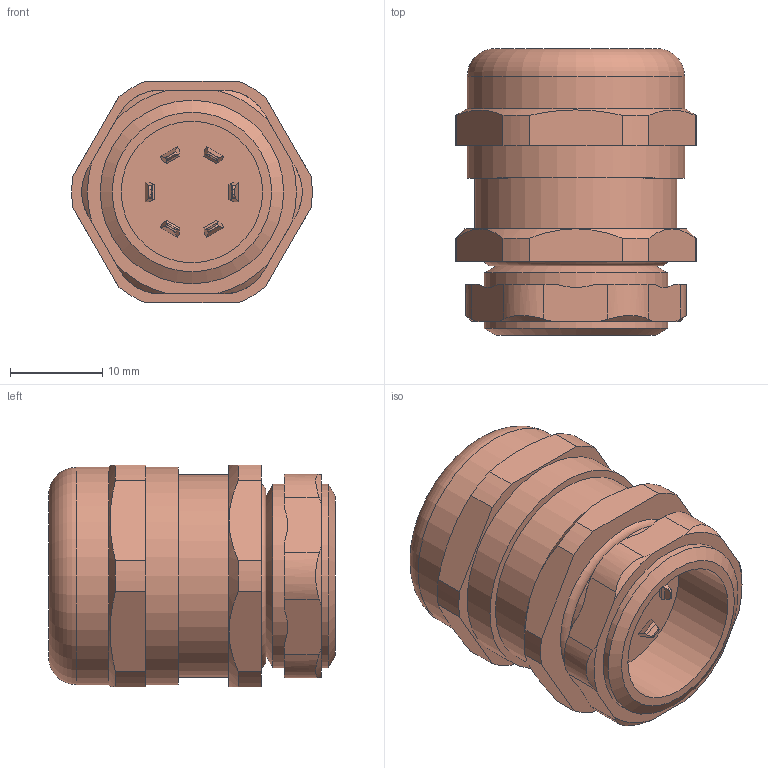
import cadquery as cq
import math

NUT_FRONT = 1.5
NUT_BACK = 5.5
SEAL_FRONT = 7.5
FLANGE_FRONT = 8.0
FLANGE_BACK = 11.5
CAP_FRONT = 17.0
CAP_HEX_FRONT = 20.5
CAP_HEX_BACK = 24.5
TOTAL_LENGTH = 31.0

THREAD_DIA = 19.85
SEAL_RING_DIA = 18.2
SEAL_SECTION_DIA = 2.0
THREAD_END_DIA = 17.25
BODY_DIA = 21.85
CAP_DIA = 23.5
BORE_DIA = 15.3
BORE_DEPTH = SEAL_FRONT
CAP_ROUND = 3.0
THREAD_CHAMFER_ANGLE = 30.0

HEX_FLATS = 24.0
HEX_CORNER_DIA = 26.0
FLANGE_CHAMFER_ANGLE = 45.0
FLANGE_CHAMFER_DIA = HEX_FLATS
CAP_CHAMFER_ANGLE = 30.0
CAP_CHAMFER_DIA = CAP_DIA

NUT_FLATS = 22.0
NUT_CORNER_ROUND = 5.0
NUT_CHAMFER_DIA = 22.6
NUT_CHAMFER_ANGLE = 45.0
NUT_RECESS_DIA = 22.4
NUT_RECESS_ANGLE = 60.0

TOOTH_COUNT = 6
TOOTH_ROOT_INNER = 4.65
TOOTH_ROOT_OUTER = 5.05
TOOTH_ROOT_WIDTH = 2.14
TOOTH_NOSE = 4.0
TOOTH_NOSE_HEIGHT = 1.03
TOOTH_BEND = 4.25
TOOTH_BEND_HEIGHT = 1.25
TOOTH_TIP_INNER = 4.42
TOOTH_TIP_OUTER = 4.65
TOOTH_TIP_WIDTH = 1.2
TOOTH_TIP_ROUND = 0.4
TOOTH_HEIGHT = 1.9


def rise(radial_run, angle):
    """Axial length of a cone that covers radial_run at the given slope."""
    return radial_run * math.tan(math.radians(angle))


def revolved(points):
    """Solid of revolution about Y from a closed (radius, y) outline."""
    return cq.Workplane("XY").polyline(points).close().revolve(360, (0, 0, 0), (0, 1, 0))


def cylinder(diameter, start, end):
    return revolved([(0, start), (diameter / 2, start), (diameter / 2, end), (0, end)])


def across_corners(flats):
    return flats / math.cos(math.radians(30))


def hexagon(flats, start, end):
    """Hexagonal prism along Y with two flats facing +Z and -Z."""
    plane = cq.Workplane("XZ", origin=(0, end, 0))
    return plane.polygon(6, across_corners(flats)).extrude(end - start)


def clipped_hexagon(start, end, chamfer_dia, chamfer_angle):
    """Hexagon with turned corners and a conical chamfer on its back face."""
    corner = HEX_CORNER_DIA / 2
    face = chamfer_dia / 2
    shoulder = end - rise(corner - face, chamfer_angle)
    envelope = revolved([(0, start), (corner, start), (corner, shoulder), (face, end), (0, end)])
    return hexagon(HEX_FLATS, start, end).intersect(envelope)


def thread():
    """Threaded stub, chamfered at both ends."""
    full = THREAD_DIA / 2
    small = THREAD_END_DIA / 2
    chamfer = rise(full - small, THREAD_CHAMFER_ANGLE)
    return revolved([
        (0, 0),
        (small, 0),
        (full, chamfer),
        (full, SEAL_FRONT - chamfer),
        (small, SEAL_FRONT),
        (0, SEAL_FRONT),
    ])


def seal():
    """Round sealing ring partly sunk into the front face of the flange, on a solid core."""
    ring_radius = SEAL_RING_DIA / 2
    section_radius = SEAL_SECTION_DIA / 2
    section = cq.Workplane("XY").center(ring_radius, SEAL_FRONT + section_radius).circle(section_radius)
    ring = section.revolve(360, (-ring_radius, 0, 0), (-ring_radius, 1, 0))
    return ring.union(cylinder(THREAD_END_DIA, SEAL_FRONT, FLANGE_FRONT))


def cap_body():
    return cylinder(CAP_DIA, CAP_FRONT, TOTAL_LENGTH).faces(">Y").edges().fillet(CAP_ROUND)


def lock_nut():
    """Rounded hexagon, chamfered in front and dished at the back."""
    blank = hexagon(NUT_FLATS, NUT_FRONT, NUT_BACK).edges("|Y").fillet(NUT_CORNER_ROUND)
    face = NUT_CHAMFER_DIA / 2
    outside = across_corners(NUT_FLATS) / 2
    shoulder = NUT_FRONT + rise(outside - face, NUT_CHAMFER_ANGLE)
    envelope = revolved([
        (0, NUT_FRONT),
        (face, NUT_FRONT),
        (outside, shoulder),
        (outside, NUT_BACK),
        (0, NUT_BACK),
    ])
    recess_rim = NUT_RECESS_DIA / 2
    thread_radius = THREAD_DIA / 2
    recess_floor = NUT_BACK - rise(recess_rim - thread_radius, NUT_RECESS_ANGLE)
    recess = revolved([
        (0, NUT_BACK),
        (recess_rim, NUT_BACK),
        (thread_radius, recess_floor),
        (0, recess_floor),
    ])
    return blank.intersect(envelope).cut(recess)


def clamping_tooth():
    """Tooth on the +X side of the bore floor, leaning inward to a nose and rounded at its tip."""
    profile = [
        (TOOTH_ROOT_OUTER, BORE_DEPTH),
        (TOOTH_ROOT_INNER, BORE_DEPTH),
        (TOOTH_NOSE, BORE_DEPTH - TOOTH_NOSE_HEIGHT),
        (TOOTH_BEND, BORE_DEPTH - TOOTH_BEND_HEIGHT),
        (TOOTH_TIP_INNER, BORE_DEPTH - TOOTH_HEIGHT),
        (TOOTH_TIP_OUTER, BORE_DEPTH - TOOTH_HEIGHT),
    ]
    blank = cq.Workplane("XY").polyline(profile).close().extrude(TOOTH_ROOT_WIDTH / 2, both=True)
    root_half = TOOTH_ROOT_WIDTH / 2
    tip_half = TOOTH_TIP_WIDTH / 2
    tip_y = BORE_DEPTH - TOOTH_HEIGHT
    outline = [(BORE_DEPTH, -root_half), (BORE_DEPTH, root_half), (tip_y, tip_half), (tip_y, -tip_half)]
    taper = cq.Workplane("YZ").polyline(outline).close().extrude(TOOTH_ROOT_OUTER)
    taper = taper.faces("<Y").edges("|X").fillet(TOOTH_TIP_ROUND)
    return blank.intersect(taper)


result = (
    thread()
    .union(lock_nut())
    .union(seal())
    .union(clipped_hexagon(FLANGE_FRONT, FLANGE_BACK, FLANGE_CHAMFER_DIA, FLANGE_CHAMFER_ANGLE))
    .union(cylinder(BODY_DIA, FLANGE_BACK, CAP_FRONT))
    .union(cap_body())
    .union(clipped_hexagon(CAP_HEX_FRONT, CAP_HEX_BACK, CAP_CHAMFER_DIA, CAP_CHAMFER_ANGLE))
    .cut(cylinder(BORE_DIA, 0, BORE_DEPTH))
)

tooth = clamping_tooth()
for index in range(TOOTH_COUNT):
    angle = 360 / TOOTH_COUNT * index
    result = result.union(tooth.rotate((0, 0, 0), (0, 1, 0), angle))